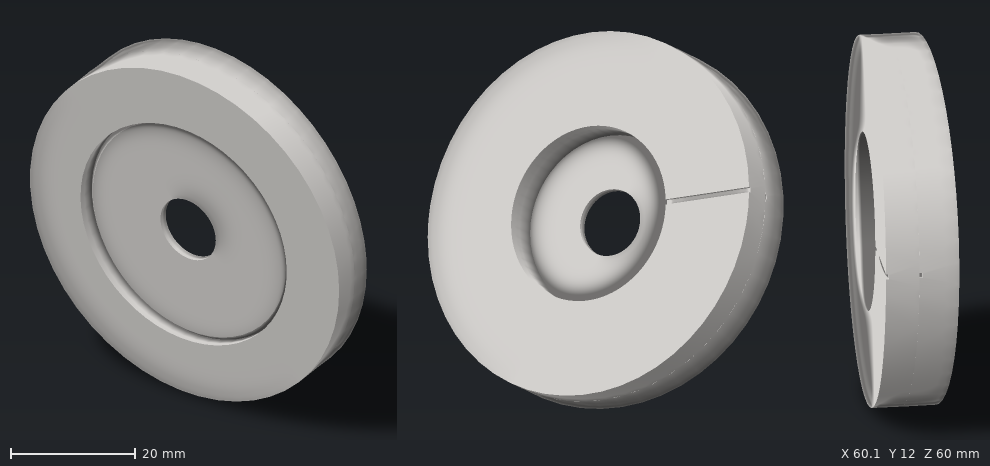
import cadquery as cq
import math

DISC_DIAMETER = 60.05
WEDGE_ANGLE = 2.0
FRONT_CENTRE_THICKNESS = 5.5
REAR_CENTRE_THICKNESS = 4.4
BORE_DIAMETER = 40.0
BOSS_HEIGHT = 3.9
BOSS_CHAMFER = 0.8
HOLE_DIAMETER = 11.0
HOLE_OFFSET = -0.25
WEB_THICKNESS = 1.45
RECESS_DIAMETER = 28.9
GROOVE_WIDTH = 0.85
GROOVE_DEPTH = 0.5
CUT_MARGIN = 6.0
BLANK_LENGTH = FRONT_CENTRE_THICKNESS + REAR_CENTRE_THICKNESS + CUT_MARGIN

disc_radius = DISC_DIAMETER / 2
cutter_size = 2 * DISC_DIAMETER


def tilted_plane(centre_y, angle):
    """Plane whose normal is +Y turned towards +X by the given angle."""
    lean = math.radians(angle)
    return cq.Plane(
        origin=(0, centre_y, 0),
        xDir=(math.cos(lean), -math.sin(lean), 0),
        normal=(math.sin(lean), math.cos(lean), 0),
    )


def space_behind(plane):
    """Block occupying everything on the +Y side of a plane."""
    return cq.Workplane(plane).rect(cutter_size, cutter_size).extrude(cutter_size)


def index_groove(plane):
    """Radial groove cutter sunk into a sloping face, from its centre past the -X edge."""
    return (
        cq.Workplane(plane)
        .center(-disc_radius, 0)
        .rect(2 * disc_radius, GROOVE_WIDTH)
        .extrude(-GROOVE_DEPTH)
    )


joint_plane = tilted_plane(FRONT_CENTRE_THICKNESS, WEDGE_ANGLE)
back_plane = tilted_plane(FRONT_CENTRE_THICKNESS + REAR_CENTRE_THICKNESS, 2 * WEDGE_ANGLE)


def make_front_wedge():
    """Ring with a flat front, and a bore square to its sloping, grooved back."""
    blank = cq.Workplane("XZ").circle(disc_radius).extrude(-BLANK_LENGTH)
    bore = (
        cq.Workplane(joint_plane)
        .circle(BORE_DIAMETER / 2)
        .extrude(BLANK_LENGTH, both=True)
    )
    wedge = blank.cut(space_behind(joint_plane)).cut(bore)
    return wedge.cut(index_groove(joint_plane))


def make_rear_wedge():
    """Wedge disc square to the joint, with a chamfered boss filling the bore."""
    disc = cq.Workplane(joint_plane).circle(disc_radius).extrude(BLANK_LENGTH)
    disc = disc.cut(space_behind(back_plane)).cut(index_groove(back_plane))
    boss = (
        cq.Workplane(joint_plane)
        .circle(BORE_DIAMETER / 2)
        .extrude(-BOSS_HEIGHT)
        .faces("<Y")
        .chamfer(BOSS_CHAMFER)
    )
    recess = (
        cq.Workplane(joint_plane)
        .workplane(offset=WEB_THICKNESS - BOSS_HEIGHT)
        .circle(RECESS_DIAMETER / 2)
        .extrude(BLANK_LENGTH)
    )
    hole = (
        cq.Workplane(joint_plane)
        .center(HOLE_OFFSET, 0)
        .circle(HOLE_DIAMETER / 2)
        .extrude(BLANK_LENGTH, both=True)
    )
    return disc.union(boss).cut(recess).cut(hole)


front_wedge = make_front_wedge()
rear_wedge = make_rear_wedge()

result = cq.Compound.makeCompound([front_wedge.val(), rear_wedge.val()])